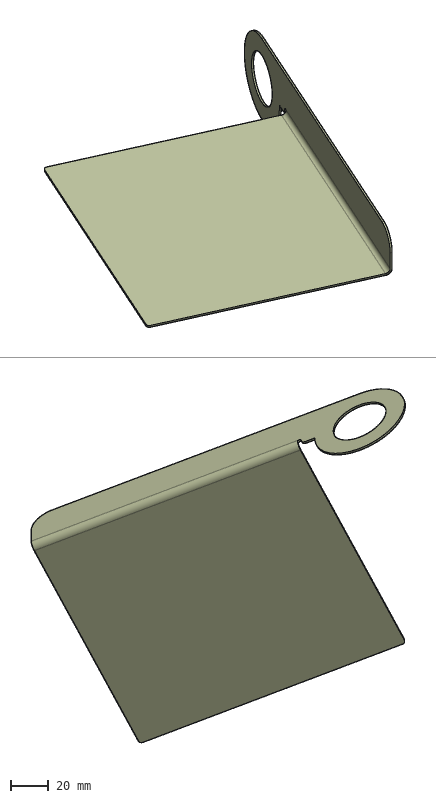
import cadquery as cq

length = 216.0
depth = 138.0
thickness = 1.2
bend_radius = 2.5
ring_diameter = 52.0
hole_diameter = 30.5
shelf_width = 154.0
shelf_corner_radius = 2.0
web_corner_radius = 12.0
relief_width = 2.2
neck_corner_radius = 2.5

ring_radius = ring_diameter / 2
right_end = length - ring_radius
shelf_left = right_end - shelf_width
neck_right = shelf_left - relief_width
relief_radius = relief_width / 2
bend_height = thickness + bend_radius


def make_web():
    """Upright sheet: a ring with a bar leaving tangentially from its top."""
    bar = (
        cq.Workplane("XZ")
        .moveTo(0, 0)
        .lineTo(neck_right - neck_corner_radius, 0)
        .radiusArc((neck_right, neck_corner_radius), -neck_corner_radius)
        .lineTo(neck_right, bend_height - relief_radius)
        .radiusArc((shelf_left, bend_height - relief_radius), relief_radius)
        .lineTo(shelf_left, bend_height)
        .lineTo(right_end, bend_height)
        .lineTo(right_end, ring_radius - web_corner_radius)
        .radiusArc((right_end - web_corner_radius, ring_radius), -web_corner_radius)
        .lineTo(0, ring_radius)
        .close()
        .extrude(thickness)
    )
    ring = cq.Workplane("XZ").circle(ring_radius).extrude(thickness)
    hole = cq.Workplane("XZ").circle(hole_diameter / 2).extrude(thickness)
    return bar.union(ring).cut(hole)


def make_shelf():
    """Horizontal sheet with its bend, extruded along X from a profile in YZ."""
    shelf = (
        cq.Workplane("YZ", origin=(shelf_left, 0, 0))
        .moveTo(0, bend_height)
        .radiusArc((-bend_height, 0), bend_height)
        .lineTo(-depth, 0)
        .lineTo(-depth, thickness)
        .lineTo(-bend_height, thickness)
        .radiusArc((-thickness, bend_height), -bend_radius)
        .close()
        .extrude(shelf_width)
    )
    return shelf.faces("<Y").edges("|Z").fillet(shelf_corner_radius)


result = make_web().union(make_shelf())